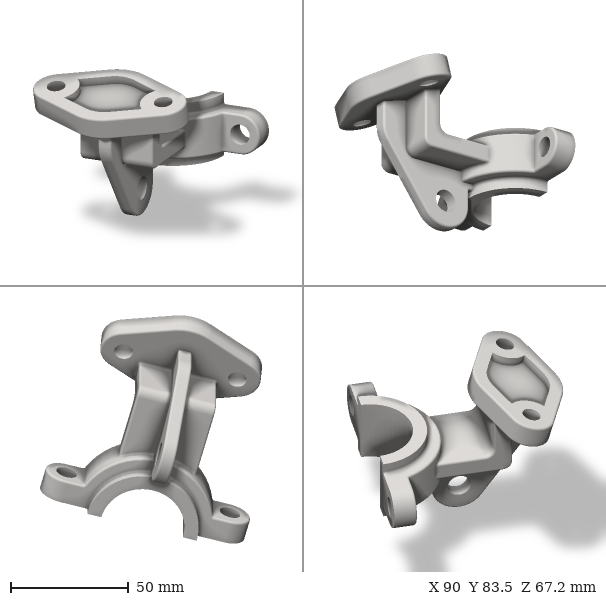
import cadquery as cq
import math

EDGE = 1.0

BORE_RADIUS = 18.0
SLEEVE_RADIUS = 24.0
SLEEVE_HALF_HEIGHT = 14.0
HUB_RADIUS = 30.0
HUB_HALF_HEIGHT = 9.0

EAR_SPACING = 72.0
EAR_THICKNESS = 10.0
EAR_HOLE_DIAMETER = 9.0

ARM_WIDTH = 34.0
ARM_THICKNESS = 7.9
ARM_OUTER_REACH = 58.0
ARM_INNER_REACH = ARM_OUTER_REACH - ARM_THICKNESS
ARM_BEND_RADIUS = 4.0

FLANGE_TILT = 15.0
FLANGE_REACH = 64.4
FLANGE_TOP_HEIGHT = 30.2
FLANGE_THICKNESS = 10.0
FLANGE_MID_RADIUS = 20.0
FLANGE_END_RADIUS = 10.0
FLANGE_HOLE_SPACING = 50.0
FLANGE_HOLE_DIAMETER = 8.0
POCKET_WALL = 6.0
POCKET_DEPTH = 4.0
POCKET_BOSS_RADIUS = 10.0

WEB_THICKNESS = 6.0
WEB_END_RADIUS = 12.0
WEB_HOLE_REACH = 38.0
WEB_HOLE_DROP = 20.0
WEB_HOLE_DIAMETER = 10.0
WEB_BEND_HEIGHT = 8.0
WEB_NOTCH_DROP = 11.5
WEB_NOTCH_RADIUS = EDGE

SLEEVE_WALL_REACH = (BORE_RADIUS + SLEEVE_RADIUS) / 2

FLANGE_FLOOR_DEPTH = (POCKET_DEPTH + FLANGE_THICKNESS) / 2

TOLERANCE = 0.001

ARM_HALF = ARM_THICKNESS / 2
TILT = math.radians(FLANGE_TILT)


def flange_height(reach, depth):
    """Height, at the given reach, of the plane that lies this deep below the flange top."""
    return FLANGE_TOP_HEIGHT - (reach - FLANGE_REACH) * math.tan(TILT) - depth / math.cos(TILT)


def side_point(reach, height):
    """Local point on the YZ workplane; reach is measured towards -Y."""
    return (-reach, height)


def arc_point(center, radius, degrees):
    """Point on a circle in reach/height terms, as a YZ workplane point."""
    angle = math.radians(degrees)
    return side_point(center[0] + radius * math.cos(angle), center[1] + radius * math.sin(angle))


def level_arcs(body, radius):
    """Arcs of the given radius that lie on the top and bottom faces of the hub."""

    def is_wanted(edge):
        on_face = math.isclose(abs(edge.Center().z), HUB_HALF_HEIGHT, abs_tol=TOLERANCE)
        return on_face and math.isclose(edge.radius(), radius, abs_tol=TOLERANCE)

    return body.edges("%CIRCLE").filter(is_wanted)


def hub_with_ears():
    hub = cq.Workplane("XY").circle(HUB_RADIUS).extrude(HUB_HALF_HEIGHT, both=True)
    ears = (
        cq.Workplane("XZ")
        .slot2D(EAR_SPACING + 2 * HUB_HALF_HEIGHT, 2 * HUB_HALF_HEIGHT)
        .extrude(EAR_THICKNESS)
    )
    space_behind = cq.Workplane("XY").box(
        4 * HUB_RADIUS, 2 * HUB_RADIUS, 4 * HUB_RADIUS, centered=(True, False, True)
    )
    body = hub.cut(space_behind).union(ears)

    corner_x = math.sqrt(HUB_RADIUS**2 - EAR_THICKNESS**2)
    for side in (-1, 1):
        corner = cq.selectors.NearestToPointSelector((side * corner_x, -EAR_THICKNESS, 0))
        body = body.edges(corner).fillet(EDGE)

    return level_arcs(body, HUB_RADIUS).fillet(EDGE)


def sleeve():
    return (
        cq.Workplane("XY", origin=(0, 0, -SLEEVE_HALF_HEIGHT))
        .moveTo(-SLEEVE_RADIUS, 0)
        .threePointArc((0, -SLEEVE_RADIUS), (SLEEVE_RADIUS, 0))
        .close()
        .extrude(2 * SLEEVE_HALF_HEIGHT)
    )


def arm():
    """L-shaped arm whose ends are buried in the sleeve wall and the flange."""
    inner_bend = (ARM_INNER_REACH - ARM_BEND_RADIUS, ARM_HALF + ARM_BEND_RADIUS)
    outer_bend = (ARM_OUTER_REACH - ARM_BEND_RADIUS, -ARM_HALF + ARM_BEND_RADIUS)
    profile = (
        cq.Workplane("YZ")
        .moveTo(*side_point(SLEEVE_WALL_REACH, ARM_HALF))
        .lineTo(*side_point(inner_bend[0], ARM_HALF))
        .threePointArc(
            arc_point(inner_bend, ARM_BEND_RADIUS, -45), side_point(ARM_INNER_REACH, inner_bend[1])
        )
        .lineTo(*side_point(ARM_INNER_REACH, flange_height(ARM_INNER_REACH, FLANGE_FLOOR_DEPTH)))
        .lineTo(*side_point(ARM_OUTER_REACH, flange_height(ARM_OUTER_REACH, FLANGE_FLOOR_DEPTH)))
        .lineTo(*side_point(ARM_OUTER_REACH, outer_bend[1]))
        .threePointArc(
            arc_point(outer_bend, ARM_BEND_RADIUS, -45), side_point(outer_bend[0], -ARM_HALF)
        )
        .lineTo(*side_point(SLEEVE_WALL_REACH, -ARM_HALF))
        .close()
    )
    return profile.extrude(ARM_WIDTH / 2, both=True).faces("<X or >X").edges().fillet(EDGE)


def flange_plane():
    """Plane on the flange top, local Z pointing out of the flange."""
    return cq.Plane(
        origin=(0, -FLANGE_REACH, FLANGE_TOP_HEIGHT),
        xDir=(1, 0, 0),
        normal=(0, -math.sin(TILT), math.cos(TILT)),
    )


def lozenge(mid_radius, end_radius):
    """Outline on the flange plane: one middle circle and two end circles joined by tangents."""
    end_x = FLANGE_HOLE_SPACING / 2
    sine = (mid_radius - end_radius) / end_x
    cosine = math.sqrt(1 - sine**2)
    mid_x = mid_radius * sine
    mid_y = mid_radius * cosine
    tip_x = end_x + end_radius * sine
    tip_y = end_radius * cosine
    return (
        cq.Workplane(flange_plane())
        .moveTo(-mid_x, mid_y)
        .threePointArc((0, mid_radius), (mid_x, mid_y))
        .lineTo(tip_x, tip_y)
        .threePointArc((end_x + end_radius, 0), (tip_x, -tip_y))
        .lineTo(mid_x, -mid_y)
        .threePointArc((0, -mid_radius), (-mid_x, -mid_y))
        .lineTo(-tip_x, -tip_y)
        .threePointArc((-end_x - end_radius, 0), (-tip_x, tip_y))
        .close()
    )


def flange_cylinders(radius):
    """Cylinders through the flange, on the axes of its two holes."""
    half_spacing = FLANGE_HOLE_SPACING / 2
    return (
        cq.Workplane(flange_plane())
        .pushPoints([(-half_spacing, 0), (half_spacing, 0)])
        .circle(radius)
        .extrude(-FLANGE_THICKNESS)
    )


def flange_blank():
    blank = lozenge(FLANGE_MID_RADIUS, FLANGE_END_RADIUS).extrude(-FLANGE_THICKNESS)
    normal = flange_plane().zDir
    rims = blank.faces(cq.selectors.ParallelDirSelector(normal)).edges()
    return rims.fillet(EDGE)


def flange_pocket():
    """Recess that follows the flange outline and leaves a round boss at each hole."""
    outline = lozenge(FLANGE_MID_RADIUS - POCKET_WALL, FLANGE_END_RADIUS - POCKET_WALL)
    pocket = outline.extrude(-POCKET_DEPTH)
    return pocket.cut(flange_cylinders(POCKET_BOSS_RADIUS))


def arm_hub_seam(body):
    """Closed seam between the arm and the round front of the hub."""
    margin = EDGE / 2
    half_width = ARM_WIDTH / 2 + margin
    half_height = ARM_HALF + margin
    seam_end_y = -math.sqrt(HUB_RADIUS**2 - (ARM_WIDTH / 2) ** 2)
    box = cq.selectors.BoxSelector(
        (-half_width, -HUB_RADIUS - margin, -half_height),
        (half_width, seam_end_y + margin, half_height),
        boundingbox=True,
    )
    return body.edges(box)


def arm_flange_seam(body):
    """Closed seam between the arm and the underside of the flange."""
    margin = EDGE / 2
    half_width = ARM_WIDTH / 2 + margin
    low = flange_height(ARM_OUTER_REACH, FLANGE_THICKNESS) - margin
    high = flange_height(ARM_INNER_REACH, FLANGE_THICKNESS) + margin
    box = cq.selectors.BoxSelector(
        (-half_width, -ARM_OUTER_REACH - margin, low),
        (half_width, -ARM_INNER_REACH + margin, high),
        boundingbox=True,
    )
    return body.edges(box)


def bearing_bracket():
    body = hub_with_ears().union(sleeve())
    body = level_arcs(body, SLEEVE_RADIUS).fillet(EDGE)
    body = body.union(arm())
    body = arm_hub_seam(body).fillet(EDGE)
    body = body.union(flange_blank())
    body = arm_flange_seam(body).fillet(EDGE)

    bore_start = cq.Workplane("XY", origin=(0, 0, -SLEEVE_HALF_HEIGHT))
    bore = bore_start.circle(BORE_RADIUS).extrude(2 * SLEEVE_HALF_HEIGHT)
    ear_holes = (
        cq.Workplane("XZ")
        .pushPoints([(-EAR_SPACING / 2, 0), (EAR_SPACING / 2, 0)])
        .circle(EAR_HOLE_DIAMETER / 2)
        .extrude(EAR_THICKNESS)
    )
    flange_holes = flange_cylinders(FLANGE_HOLE_DIAMETER / 2)
    return body.cut(bore).cut(ear_holes).cut(flange_holes).cut(flange_pocket())


def web_profile():
    """Outline that follows the underside of the arm and hangs down to the round end."""
    hole_center = (WEB_HOLE_REACH, -WEB_HOLE_DROP)
    bend_center = (ARM_OUTER_REACH, WEB_BEND_HEIGHT)
    slope = math.degrees(math.atan2(bend_center[1] - hole_center[1], bend_center[0] - hole_center[0]))
    tangent = slope - 90
    left_reach = WEB_HOLE_REACH - WEB_END_RADIUS
    right_reach = ARM_OUTER_REACH + WEB_END_RADIUS
    notch_center = (left_reach - WEB_NOTCH_RADIUS, -WEB_NOTCH_DROP - WEB_NOTCH_RADIUS)
    arm_bend = (ARM_OUTER_REACH - ARM_BEND_RADIUS, -ARM_HALF + ARM_BEND_RADIUS)
    return (
        cq.Workplane("YZ")
        .moveTo(*side_point(SLEEVE_WALL_REACH, -WEB_NOTCH_DROP))
        .lineTo(*side_point(notch_center[0], -WEB_NOTCH_DROP))
        .threePointArc(
            arc_point(notch_center, WEB_NOTCH_RADIUS, 45), side_point(left_reach, notch_center[1])
        )
        .lineTo(*side_point(left_reach, -WEB_HOLE_DROP))
        .threePointArc(
            arc_point(hole_center, WEB_END_RADIUS, -90), arc_point(hole_center, WEB_END_RADIUS, tangent)
        )
        .lineTo(*arc_point(bend_center, WEB_END_RADIUS, tangent))
        .threePointArc(
            arc_point(bend_center, WEB_END_RADIUS, tangent / 2), side_point(right_reach, WEB_BEND_HEIGHT)
        )
        .lineTo(*side_point(right_reach, flange_height(right_reach, FLANGE_FLOOR_DEPTH)))
        .lineTo(*side_point(ARM_OUTER_REACH, flange_height(ARM_OUTER_REACH, FLANGE_FLOOR_DEPTH)))
        .lineTo(*side_point(ARM_OUTER_REACH, arm_bend[1]))
        .threePointArc(
            arc_point(arm_bend, ARM_BEND_RADIUS, -45), side_point(arm_bend[0], -ARM_HALF)
        )
        .lineTo(*side_point(SLEEVE_WALL_REACH, -ARM_HALF))
        .close()
    )


def web_plate(neighbour):
    """Web with all its edges rounded, cut back to the surfaces of the bracket around it."""
    plate = web_profile().extrude(WEB_THICKNESS / 2, both=True).faces("<X or >X").edges().fillet(EDGE)
    hole = (
        cq.Workplane("YZ", origin=(-WEB_THICKNESS / 2, -WEB_HOLE_REACH, -WEB_HOLE_DROP))
        .circle(WEB_HOLE_DIAMETER / 2)
        .extrude(WEB_THICKNESS)
    )
    return plate.cut(hole).cut(neighbour)


bracket = bearing_bracket()
web = web_plate(bracket)
result = cq.Compound.makeCompound([bracket.solids().val(), web.solids().val()])